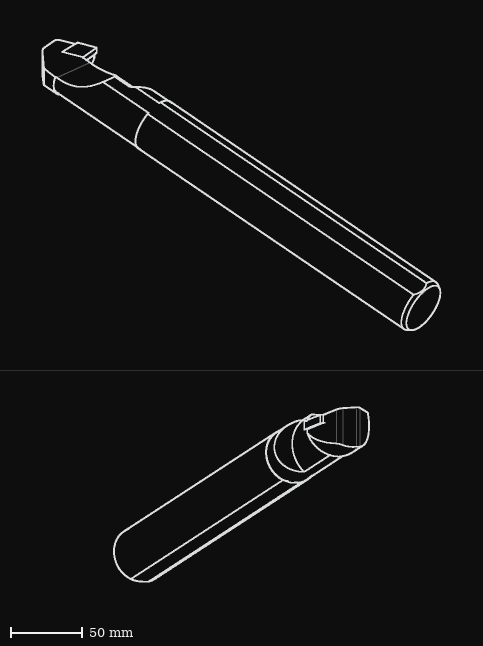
import cadquery as cq
import math

LENGTH = 350.0
SHANK_START = 99.8
SHANK_RADIUS = 20.0
FLAT_HEIGHT = 18.72
NECK_RADIUS = 19.5
END_CHAMFER_LENGTH = 3.0
END_CHAMFER_DEPTH = 1.8

RELIEF_RADIUS = 25.2
RELIEF_SIDE = 11.5
RELIEF_CENTER_Y = RELIEF_SIDE - RELIEF_RADIUS
RELIEF_END = 74.5
RELIEF_RUNOUT_LENGTH = 17.5
RELIEF_RUNOUT_RISE = 11.5

HEAD_LENGTH = 23.8
HEAD_DROP = 22.92
HEAD_RADIUS = HEAD_DROP
HEAD_CENTER_Y = HEAD_RADIUS - SHANK_RADIUS
NOSE_LOW_Y = -4.5
NOSE_HIGH_Y = 10.5
NOSE_ROUND = 4.5
LEAD_ANGLE = math.radians(30)

CHIP_Z = 6.48
CHIP_SLOPE_X = -0.07
CHIP_SLOPE_Y = -0.2
CHIP_SKEW = 0.18
GULLET_START = 28.0
GULLET_RADIUS = 36.5
GULLET_TURN = math.radians(75)

INSERT_THICKNESS = 6.0
INSERT_TIP_Y = 26.2
INSERT_INNER = (11.0, 4.2)
INSERT_OUTER = (12.0, 19.5)

REACH = 70.0


def cylinder_x(radius, start, end, center_y=0.0):
    """Cylinder along X."""
    return cq.Workplane("YZ", origin=(start, 0, 0)).center(center_y, 0).circle(radius).extrude(end - start)


def block_x(start, end, bottom, top):
    """Wide block between two X and two Z limits."""
    block = cq.Workplane("XY", origin=(start, 0, bottom))
    return block.rect(end - start, 2 * REACH).extrude(top - bottom).translate(((end - start) / 2, 0, 0))


def make_shank():
    """Round shank with top and bottom flats and a chamfered far end."""
    profile = [
        (SHANK_START, 0),
        (SHANK_START, SHANK_RADIUS),
        (LENGTH - END_CHAMFER_LENGTH, SHANK_RADIUS),
        (LENGTH, SHANK_RADIUS - END_CHAMFER_DEPTH),
        (LENGTH, 0),
    ]
    shank = cq.Workplane("XY").polyline(profile).close().revolve(360, (0, 0, 0), (1, 0, 0))
    return shank.intersect(block_x(SHANK_START, LENGTH, -FLAT_HEIGHT, FLAT_HEIGHT))


def make_neck():
    """Round neck with a top flat and a turned relief that runs out in a cone."""
    neck = cylinder_x(NECK_RADIUS, 0, SHANK_START)
    neck = neck.intersect(block_x(0, SHANK_START, -REACH, FLAT_HEIGHT))
    runout_end = RELIEF_END + RELIEF_RUNOUT_LENGTH
    runout_y = RELIEF_SIDE + RELIEF_RUNOUT_RISE
    profile = [
        (0, RELIEF_CENTER_Y),
        (0, RELIEF_SIDE),
        (RELIEF_END, RELIEF_SIDE),
        (runout_end, runout_y),
        (SHANK_START, runout_y),
        (SHANK_START, RELIEF_CENTER_Y),
    ]
    envelope = cq.Workplane("XY").polyline(profile).close()
    envelope = envelope.revolve(360, (0, RELIEF_CENTER_Y, 0), (1, RELIEF_CENTER_Y, 0))
    return neck.intersect(envelope)


def make_nose_outline():
    """Tall prism with the plan outline of the nose, open toward the shank."""
    lead_y = NOSE_HIGH_Y + REACH * math.tan(LEAD_ANGLE)
    outline = [
        (0, NOSE_LOW_Y),
        (REACH, NOSE_LOW_Y - REACH),
        (LENGTH, NOSE_LOW_Y - REACH),
        (LENGTH, lead_y),
        (REACH, lead_y),
        (0, NOSE_HIGH_Y),
    ]
    prism = cq.Workplane("XY", origin=(0, 0, -REACH)).polyline(outline).close().extrude(2 * REACH)
    return prism.edges("|Z and <X").fillet(NOSE_ROUND)


def make_gullet():
    """Cutter for the chip face: a sloping line and an arc, swept across Y."""
    tilt = math.atan(CHIP_SLOPE_X)
    center_x = GULLET_START - GULLET_RADIUS * math.sin(tilt)
    center_z = CHIP_Z + CHIP_SLOPE_X * GULLET_START + GULLET_RADIUS * math.cos(tilt)

    def arc_point(turn):
        angle = tilt + turn
        return (center_x + GULLET_RADIUS * math.sin(angle), center_z - GULLET_RADIUS * math.cos(angle))

    drop = CHIP_SLOPE_X * CHIP_SKEW + CHIP_SLOPE_Y
    start_shift = cq.Vector(-CHIP_SKEW * REACH, -REACH, -drop * REACH)
    arc_end = arc_point(GULLET_TURN)
    profile = (
        cq.Workplane("XZ")
        .moveTo(-REACH, CHIP_Z - CHIP_SLOPE_X * REACH)
        .lineTo(GULLET_START, CHIP_Z + CHIP_SLOPE_X * GULLET_START)
        .threePointArc(arc_point(GULLET_TURN / 2), arc_end)
        .lineTo(arc_end[0], REACH)
        .lineTo(-REACH, REACH)
        .close()
    )
    face = cq.Face.makeFromWires(profile.val()).translate(start_shift)
    return cq.Workplane(cq.Solid.extrudeLinear(face, start_shift * -2))


def make_insert():
    """Four-sided cutting insert whose top lies in the chip face plane."""
    inner_edge_y = INSERT_INNER[1] + (HEAD_LENGTH - INSERT_INNER[0]) * math.tan(LEAD_ANGLE)
    outline = [
        INSERT_INNER,
        (HEAD_LENGTH, inner_edge_y),
        (HEAD_LENGTH, INSERT_TIP_Y),
        INSERT_OUTER,
    ]
    prism = cq.Workplane("XY", origin=(0, 0, -REACH)).polyline(outline).close().extrude(2 * REACH)
    plane = cq.Plane(origin=(0, 0, CHIP_Z), xDir=(1, 0, CHIP_SLOPE_X), normal=(-CHIP_SLOPE_X, -CHIP_SLOPE_Y, 1))
    slab = cq.Workplane(plane).rect(2 * REACH, 2 * REACH).extrude(-INSERT_THICKNESS)
    return prism.intersect(slab)


def make_bar(insert):
    """Boring bar: shank, neck and head, with the chip face and the insert seat."""
    head = cylinder_x(HEAD_RADIUS, 0, HEAD_LENGTH, HEAD_CENTER_Y)
    front = make_neck().union(head).intersect(make_nose_outline()).cut(make_gullet())
    return make_shank().union(front).cut(insert)


insert = make_insert()
bar = make_bar(insert)

result = cq.Compound.makeCompound([bar.solids().val(), insert.solids().val()])